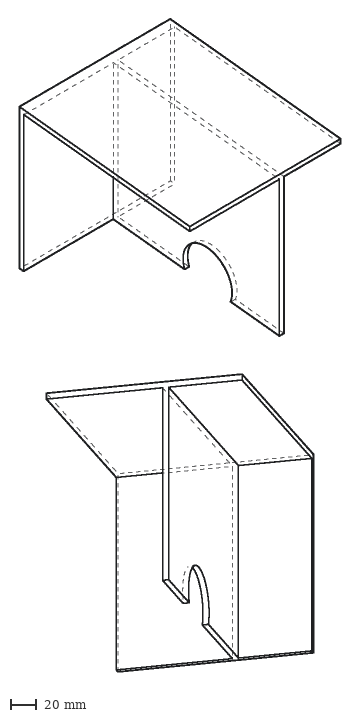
import cadquery as cq

length = 198.79
depth = 160.0
height = 165.0
wall = 5.0

web_front_y = 95.0

cutout_diameter = 57.0
cutout_x = 115.0
cutout_z = 10.0


def make_plate(size_x, size_y, size_z, corner):
    """Rectangular plate with its minimum corner at the given point."""
    return cq.Workplane("XY").box(size_x, size_y, size_z, centered=False).translate(corner)


def make_web():
    """Upright plate across the inside of the cover, with the round cutout."""
    web = make_plate(length - wall, wall, height - wall, (wall, web_front_y, 0))
    cutter = (
        cq.Workplane("XZ", origin=(cutout_x, web_front_y + wall, cutout_z))
        .circle(cutout_diameter / 2)
        .extrude(wall)
    )
    return web.cut(cutter)


side_wall = make_plate(wall, depth, height, (0, 0, 0))
top_plate = make_plate(length - wall, depth, wall, (wall, 0, height - wall))

result = side_wall.union(top_plate).union(make_web())